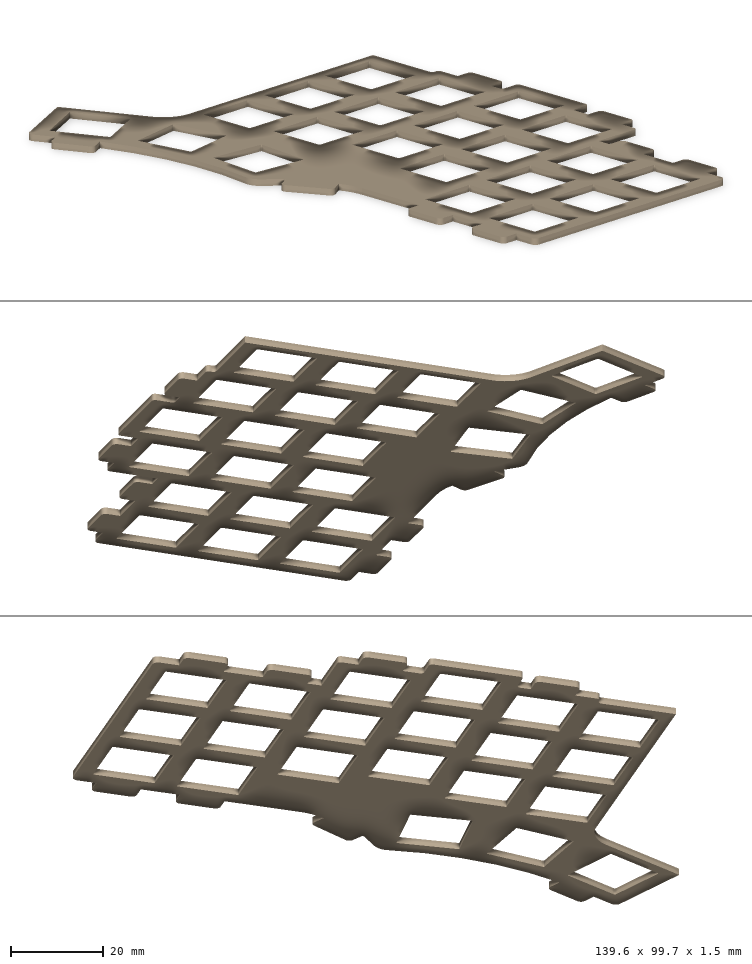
import cadquery as cq
import math


thickness = 1.5
key_pitch = 19.05
hole_size = 14.0
hole_corner_radius = 0.2
rows = 3
rim = 3.75
key_reach = hole_size / 2 + rim
half_pitch = key_pitch / 2
third_column_trim = 0.25

first_column_x = -36.21
first_column_y = 13.035
column_stagger = [0.0, 2.0, 7.0, 2.0, -10.0, -10.0]
column_x = [first_column_x + i * key_pitch for i in range(len(column_stagger))]
column_y = [first_column_y + stagger for stagger in column_stagger]
column_top = [y + key_pitch + key_reach for y in column_y]

outer_thumb = (-56.02, -35.05, 25.0)
middle_thumb = (-35.0, -28.1, 10.0)
inner_thumb = (-13.0, -27.15, -5.0)

tab_width = 10.1
tab_length = 4.0
tab_radius = 1.1
tab_root = 2.0
fourth_column_tab_shift = 1.1
outer_thumb_tab_shift = 0.85
corner_tab_width = 12.0
corner_tab_angle = 28.0
corner_tab_base = (6.7, -30.9)

left_edge = column_x[0] - half_pitch
right_edge = column_x[-1] + key_reach
bottom_edge = column_y[-1] - key_pitch - key_reach
corner_radius = 0.8
large_corner_radius = 1.25
thumb_neck_radius = 8.0
thumb_end_radius = 3.8
notch_radius = 0.4
thumb_arc_start_x = 6.0
thumb_arc_middle = (-24.5, -37.6)
thumb_arc_end = (-3.95, -39.0)
notch_top = (1.05, -33.8)
sweep_start = (11.9, -28.1)
sweep_end_x = 17.7


def offset_point(base, angle, along, across):
    """Point at a local offset from base, in axes turned by angle degrees."""
    turn = math.radians(angle)
    x = base[0] + along * math.cos(turn) - across * math.sin(turn)
    y = base[1] + along * math.sin(turn) + across * math.cos(turn)
    return (x, y)


def on_outer_thumb(along, across):
    return offset_point(outer_thumb[:2], outer_thumb[2], along, across)


def round_corners(body, points, radius):
    """Fillet the upright edges standing at the given outline points."""
    for x, y in points:
        edge = cq.selectors.NearestToPointSelector((x, y, thickness / 2))
        body = body.edges("|Z").edges(edge).fillet(radius)
    return body


def make_plate():
    thumb_tip = on_outer_thumb(-key_reach, half_pitch)
    thumb_foot = on_outer_thumb(-key_reach, -key_reach)
    slope = math.tan(math.radians(outer_thumb[2]))
    neck = (left_edge, thumb_tip[1] + (left_edge - thumb_tip[0]) * slope)

    second_left = column_x[1] - key_reach
    third_left = column_x[2] - key_reach
    third_right = column_x[2] + key_reach - third_column_trim
    fourth_right = column_x[3] + key_reach
    inner_steps = [
        (second_left, column_top[0]),
        (third_left, column_top[1]),
        (third_right, column_top[3]),
    ]
    outer_steps = [
        (second_left, column_top[1]),
        (third_left, column_top[2]),
        (third_right, column_top[2]),
        (fourth_right, column_top[3]),
    ]
    right_corners = [(right_edge, column_top[5]), (right_edge, bottom_edge)]

    outline = (
        cq.Workplane("XY")
        .moveTo(*thumb_foot)
        .lineTo(*thumb_tip)
        .lineTo(*neck)
        .lineTo(left_edge, column_top[0])
        .lineTo(*inner_steps[0])
        .lineTo(*outer_steps[0])
        .lineTo(*inner_steps[1])
        .lineTo(*outer_steps[1])
        .lineTo(*outer_steps[2])
        .lineTo(*inner_steps[2])
        .lineTo(*outer_steps[3])
        .lineTo(fourth_right, column_top[4])
        .lineTo(*right_corners[0])
        .lineTo(*right_corners[1])
        .lineTo(sweep_end_x, bottom_edge)
        .tangentArcPoint(sweep_start, relative=False)
        .lineTo(*notch_top)
        .lineTo(*thumb_arc_end)
        .threePointArc(thumb_arc_middle, on_outer_thumb(thumb_arc_start_x, -key_reach))
        .close()
    )
    body = outline.extrude(thickness)
    body = round_corners(body, inner_steps + outer_steps, corner_radius)
    body = round_corners(body, right_corners + [thumb_foot], large_corner_radius)
    body = round_corners(body, [neck], thumb_neck_radius)
    return round_corners(body, [thumb_arc_end], thumb_end_radius)


def make_tab(base, angle, width=tab_width):
    """Tab growing from the middle of its base line; at angle 0 it points along -Y."""
    tab = (
        cq.Workplane("XY")
        .rect(width, tab_length + tab_root)
        .extrude(thickness)
        .edges("|Z and <Y")
        .fillet(tab_radius)
        .translate((0, (tab_root - tab_length) / 2, 0))
    )
    return tab.rotate((0, 0, 0), (0, 0, 1), angle).translate((base[0], base[1], 0))


def make_tabs():
    pointing_up = 180
    tabs = [
        make_tab((column_x[1], column_top[1]), pointing_up),
        make_tab((column_x[3] + fourth_column_tab_shift, column_top[3]), pointing_up),
    ]
    for x in column_x[4:]:
        tabs.append(make_tab((x, column_top[4]), pointing_up))
        tabs.append(make_tab((x, bottom_edge), 0))
    tabs.append(make_tab(on_outer_thumb(outer_thumb_tab_shift, -key_reach), outer_thumb[2]))
    tabs.append(make_tab(corner_tab_base, corner_tab_angle, corner_tab_width))
    return tabs


def make_key_hole(x, y, angle=0.0):
    hole = (
        cq.Workplane("XY")
        .rect(hole_size, hole_size)
        .extrude(thickness)
        .edges("|Z")
        .fillet(hole_corner_radius)
    )
    return hole.rotate((0, 0, 0), (0, 0, 1), angle).translate((x, y, 0))


def make_key_holes():
    holes = [make_key_hole(*key) for key in (outer_thumb, middle_thumb, inner_thumb)]
    for x, y in zip(column_x, column_y):
        for row in range(rows):
            holes.append(make_key_hole(x, y + (row - 1) * key_pitch))
    return holes


result = make_plate()
for tab in make_tabs():
    result = result.union(tab)
result = round_corners(result, [notch_top], notch_radius)
for hole in make_key_holes():
    result = result.cut(hole)